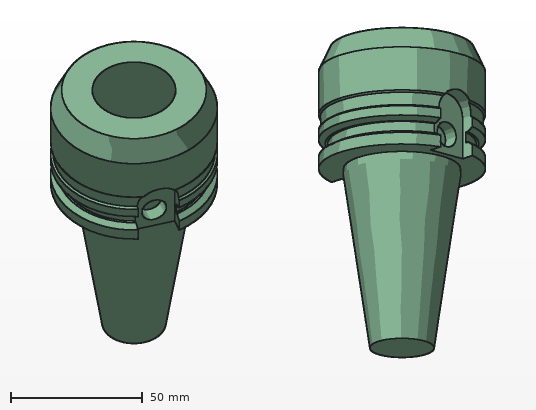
import cadquery as cq

total_height = 119.0
taper_top_z = 68.3
flange_bottom_z = 71.3
groove_center_z = 79.4
groove_floor_width = 4.0
groove_mouth_width = 6.9
flange_top_z = 86.5
neck_bottom_z = 87.3
neck_top_z = 92.1
head_bottom_z = 92.9
nose_cone_height = 9.0

taper_small_radius = 12.3
taper_large_radius = 22.3
body_radius = 31.73
groove_radius = 28.2
groove_step_radius = 29.2
neck_bottom_radius = 30.8
neck_top_radius = 31.1
nose_radius = 27.5

bore_radius = 15.8
bore_depth = 59.5

slot_width = 16.4
slot_top_z = 95.6
slot_floor_x = 25.1
slot_hole_z = 79.3
slot_hole_diameter = 9.8
slot_hole_depth = 6.0


def turned_body():
    """Revolve the taper, grooved flange, neck and head about Z."""
    profile = [
        (0, 0),
        (taper_small_radius, 0),
        (taper_large_radius, taper_top_z),
        (taper_large_radius, flange_bottom_z),
        (body_radius, flange_bottom_z),
        (body_radius, groove_center_z - groove_mouth_width / 2),
        (groove_step_radius, groove_center_z - groove_floor_width / 2),
        (groove_radius, groove_center_z - groove_floor_width / 2),
        (groove_radius, groove_center_z + groove_floor_width / 2),
        (groove_step_radius, groove_center_z + groove_floor_width / 2),
        (body_radius, groove_center_z + groove_mouth_width / 2),
        (body_radius, flange_top_z),
        (neck_bottom_radius, neck_bottom_z),
        (neck_top_radius, neck_top_z),
        (body_radius, head_bottom_z),
        (body_radius, total_height - nose_cone_height),
        (nose_radius, total_height),
        (0, total_height),
    ]
    return cq.Workplane("XZ").polyline(profile).close().revolve(360, (0, 0), (0, 1))


def bore():
    """Blind cylindrical bore from the top face."""
    return (
        cq.Workplane("XY")
        .workplane(offset=total_height - bore_depth)
        .circle(bore_radius)
        .extrude(bore_depth)
    )


def drive_slot():
    """Round-topped slot on the +X side, with a blind hole in its flat floor."""
    half_width = slot_width / 2
    arch_z = slot_top_z - half_width
    floor_plane = cq.Workplane("YZ").workplane(offset=slot_floor_x)
    slot = (
        floor_plane
        .moveTo(-half_width, flange_bottom_z)
        .lineTo(half_width, flange_bottom_z)
        .lineTo(half_width, arch_z)
        .threePointArc((0, slot_top_z), (-half_width, arch_z))
        .close()
        .extrude(body_radius - slot_floor_x)
    )
    hole = (
        floor_plane
        .center(0, slot_hole_z)
        .circle(slot_hole_diameter / 2)
        .extrude(-slot_hole_depth)
    )
    return slot.union(hole)


result = turned_body().cut(bore())
for slot_angle in (0, 180):
    result = result.cut(drive_slot().rotate((0, 0, 0), (0, 0, 1), slot_angle))